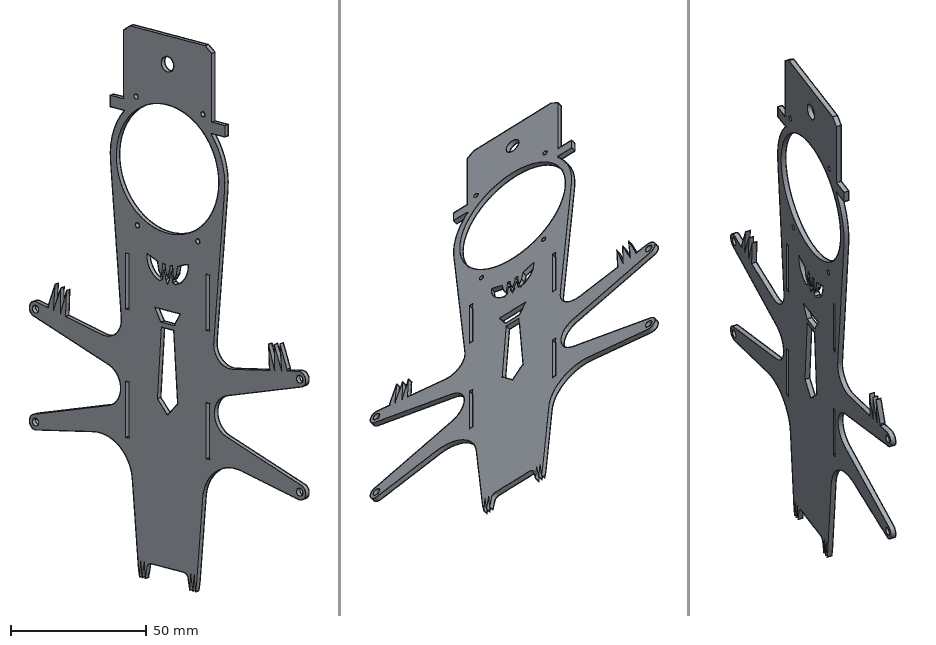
import cadquery as cq
import math

thickness = 2.0
top_z = 106.8
bottom_z = -106.8

ring_z = 55.0
ring_radius = 28.0
opening_radius = 25.0

tab_half_width = 21.5
tab_corner_width = 3.2
tab_corner_height = 2.4
ear_half_span = 28.0
ear_top_z = 77.8
ear_bottom_z = 73.3
tab_hole_z = 95.7
tab_hole_diameter = 6.0

screw_diameter = 2.0
upper_screws_x = (-15.4, 17.3)
upper_screw_z = 80.0
lower_screws_x = (-14.7, 14.7)
lower_screw_z = 30.0

side_angle = math.radians(5)
tail_edge_z = -100.5
arm_hole_x = 64.5
arm_hole_z = -13.2
arm_hole_diameter = 3.0
arm_tip_radius = 3.0
arm_mid_z = -35.3
arm_outer_angle = math.radians(10.6)
arm_inner_angle = math.radians(17)
shoulder_radius = 8.0
bay_radius = 8.3
hip_radius = 16.0

slot_x = 19.7
slot_width = 1.5
slot_length = 21.8
slot_centers_z = (7.0, -43.0)

claw_outline = [
    (49.8, -15.0), (49.8, -12.8), (49.4, -2.8), (52.4, -12.6), (52.1, -2.4),
    (55.8, -12.0), (55.0, -1.5), (58.3, -10.7), (58.3, -12.8),
]

fang_inner_x = 10.0
fang_round = 2.1
fang_tips_x = (11.0, 12.5, 13.7)
fang_notches_x = (11.3, 13.0)
fang_shoulder_z = -103.2

knot_top_z = -0.2
knot_bottom_z = -5.3
knot_top_half = 6.2
knot_bottom_half = 3.2
blade_top_z = -7.3
blade_wide_z = -35.5
blade_tip_z = -40.8
blade_top_half = 3.0
blade_wide_half = 5.0

lower_teeth = [(0, 10.0), (0.9, 11.8), (1.0, 13.5), (2.0, 15.2), (2.5, 11.3), (3.8, 10.7)]
upper_teeth = [
    (5.0, 18.0), (4.3, 14.5), (3.0, 12.5), (2.4, 17.7), (1.3, 17.5), (1.0, 15.8), (0, 12.8),
]
wing_tip = (10.0, 19.9)
wing_lower_bulge = (8.3, 13.9)
wing_upper_bulge = (7.5, 19.0)


def plate(sketch):
    """Extrude a closed outline symmetrically about the XZ plane."""
    return sketch.extrude(thickness / 2, both=True)


def polygon(points):
    return plate(cq.Workplane("XZ").polyline(points).close())


def both_sides(body):
    return body.union(body.mirror("YZ"))


def discs(points, diameter):
    return plate(cq.Workplane("XZ").pushPoints(points).circle(diameter / 2))


def crossing(point_a, slope_a, point_b, slope_b):
    """Point where two sloped lines, each dz/dx through a point, meet."""
    rise = point_b[1] - point_a[1] - slope_b * (point_b[0] - point_a[0])
    run = rise / (slope_a - slope_b)
    return (point_a[0] + run, point_a[1] + slope_a * run)


def flipped(point):
    """Mirror a point of the upper arm onto the lower arm."""
    return (point[0], 2 * arm_mid_z - point[1])


def side_x(z):
    """Half width of the tapered body, tangent to the ring."""
    return ring_radius / math.cos(side_angle) - (ring_z - z) * math.tan(side_angle)


def round_corner(body, point, radius):
    nearest = cq.selectors.NearestToPointSelector((point[0], 0, point[1]))
    return body.edges("|Y").edges(nearest).fillet(radius)


def make_body_half():
    side_top = (
        ring_radius * math.cos(side_angle),
        ring_z - ring_radius * math.sin(side_angle),
    )
    side_slope = 1 / math.tan(side_angle)
    tip_top = (
        arm_hole_x - arm_tip_radius * math.sin(arm_outer_angle),
        arm_hole_z + arm_tip_radius * math.cos(arm_outer_angle),
    )
    tip_end = (arm_hole_x + arm_tip_radius, arm_hole_z)
    tip_bottom = (
        arm_hole_x + arm_tip_radius * math.sin(arm_inner_angle),
        arm_hole_z - arm_tip_radius * math.cos(arm_inner_angle),
    )
    outer_slope = math.tan(arm_outer_angle)
    inner_slope = math.tan(arm_inner_angle)
    shoulder = crossing(side_top, side_slope, tip_top, outer_slope)
    bay = crossing(tip_bottom, inner_slope, flipped(tip_bottom), -inner_slope)
    hip = crossing(side_top, side_slope, flipped(tip_top), -outer_slope)
    outline = (
        cq.Workplane("XZ")
        .moveTo(0, ring_z)
        .lineTo(*side_top)
        .lineTo(*shoulder)
        .lineTo(*tip_top)
        .threePointArc(tip_end, tip_bottom)
        .lineTo(*bay)
        .lineTo(*flipped(tip_bottom))
        .threePointArc(flipped(tip_end), flipped(tip_top))
        .lineTo(*hip)
        .lineTo(side_x(tail_edge_z), tail_edge_z)
        .lineTo(0, tail_edge_z)
        .close()
    )
    body = plate(outline)
    for corner, radius in ((shoulder, shoulder_radius), (bay, bay_radius), (hip, hip_radius)):
        body = round_corner(body, corner, radius)
    return body


def make_fangs():
    root_z = tail_edge_z + fang_round
    outline = (
        cq.Workplane("XZ")
        .moveTo(side_x(root_z), root_z)
        .lineTo(side_x(fang_shoulder_z), fang_shoulder_z)
        .lineTo(fang_tips_x[2], bottom_z)
        .lineTo(fang_notches_x[1], tail_edge_z)
        .lineTo(fang_tips_x[1], bottom_z)
        .lineTo(fang_notches_x[0], tail_edge_z)
        .lineTo(fang_tips_x[0], bottom_z)
        .lineTo(fang_inner_x, tail_edge_z - fang_round)
        .radiusArc((fang_inner_x - fang_round, tail_edge_z), -fang_round)
        .lineTo(fang_inner_x - fang_round, root_z)
        .close()
    )
    return plate(outline)


def make_head():
    tab = polygon([
        (0, ring_z),
        (tab_half_width, ear_bottom_z),
        (ear_half_span, ear_bottom_z),
        (ear_half_span, ear_top_z),
        (tab_half_width, ear_top_z),
        (tab_half_width, top_z - tab_corner_height),
        (tab_half_width - tab_corner_width, top_z),
        (0, top_z),
    ])
    return both_sides(tab).union(discs([(0, ring_z)], 2 * ring_radius))


def make_slots():
    centers = [(side * slot_x, z) for side in (-1, 1) for z in slot_centers_z]
    return plate(cq.Workplane("XZ").pushPoints(centers).rect(slot_width, slot_length))


def make_necktie():
    knot = polygon([
        (0, knot_top_z), (knot_top_half, knot_top_z),
        (knot_bottom_half, knot_bottom_z), (0, knot_bottom_z),
    ])
    blade = polygon([
        (0, blade_top_z), (blade_top_half, blade_top_z),
        (blade_wide_half, blade_wide_z), (0, blade_tip_z),
    ])
    return both_sides(knot.union(blade))


def make_wing_window():
    """Winged opening with pointed teeth reaching in from above and below."""
    wing = (
        cq.Workplane("XZ")
        .polyline(lower_teeth)
        .threePointArc(wing_lower_bulge, wing_tip)
        .threePointArc(wing_upper_bulge, upper_teeth[0])
        .polyline(upper_teeth[1:], includeCurrent=True)
        .close()
    )
    return both_sides(plate(wing))


def make_holes():
    screws = [(x, upper_screw_z) for x in upper_screws_x]
    screws += [(x, lower_screw_z) for x in lower_screws_x]
    arm_hole = (arm_hole_x, arm_hole_z)
    arm_holes = [(side * x, z) for side in (-1, 1) for x, z in (arm_hole, flipped(arm_hole))]
    return (
        discs([(0, ring_z)], 2 * opening_radius)
        .union(discs([(0, tab_hole_z)], tab_hole_diameter))
        .union(discs(screws, screw_diameter))
        .union(discs(arm_holes, arm_hole_diameter))
    )


right_half = make_body_half().union(polygon(claw_outline)).union(make_fangs())
result = (
    both_sides(right_half)
    .union(make_head())
    .cut(make_holes())
    .cut(make_slots())
    .cut(make_necktie())
    .cut(make_wing_window())
    .clean()
)